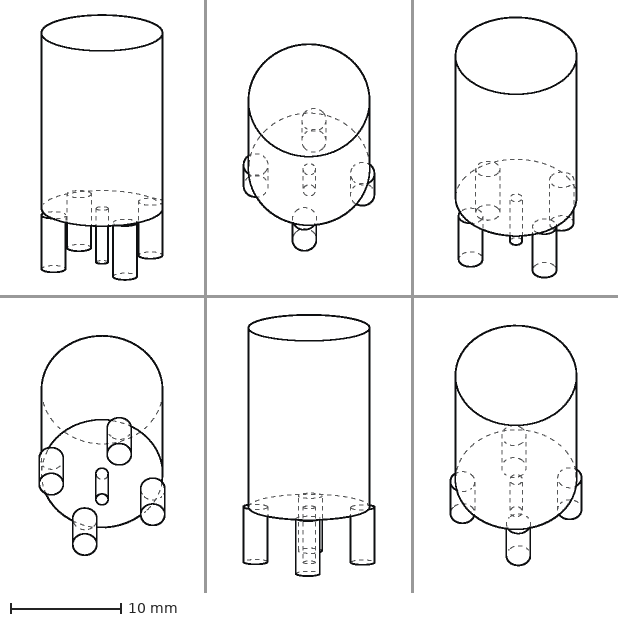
import cadquery as cq

total_height = 21.75
housing_diameter = 11.0
leg_length = 5.1
housing_height = total_height - leg_length

center_pin_diameter = 1.1
post_diameter = 2.2
post_offset = 3.43


def make_housing():
    """Plain cylinder standing on the Z = 0 plane."""
    return cq.Workplane("XY").circle(housing_diameter / 2).extrude(housing_height)


def make_leg(diameter, x, y):
    """Round leg hanging from the housing underside at (x, y)."""
    return cq.Workplane("XY").center(x, y).circle(diameter / 2).extrude(-leg_length)


housing = make_housing()
center_pin = make_leg(center_pin_diameter, 0, 0)

posts = []
for x_side in (-1, 1):
    for y_side in (-1, 1):
        post = make_leg(post_diameter, x_side * post_offset, y_side * post_offset)
        posts.append(post.val())

result = cq.Compound.makeCompound([housing.val(), center_pin.val(), *posts])